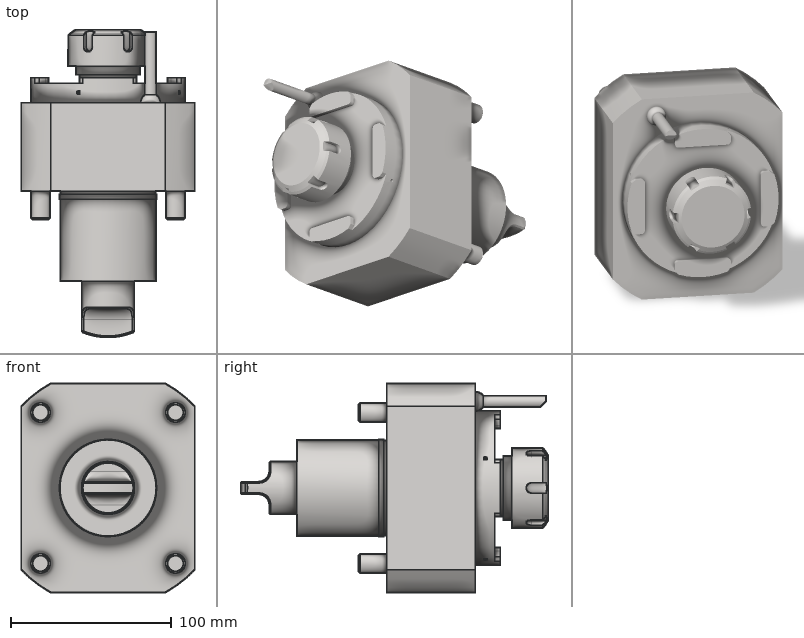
import cadquery as cq
import math


OVERALL_LENGTH = 191.5

BLOCK_WIDTH = 108.0
BLOCK_HEIGHT = 130.0
BLOCK_DEPTH = 55.1
CORNER_RADIUS = 74.0

SCREW_DIAMETER = 12.0
SCREW_LENGTH = 17.6
SCREW_CHAMFER = 1.1
SCREW_X = 42.0
SCREW_Z = 46.9

SHANK_DIAMETER = 59.7
SHANK_LENGTH = 55.9
RELIEF_DIAMETER = 59.3
SEAL_DIAMETER = 60.5
SEAL_START = 2
SEAL_WIDTH = 3.0
TANG_DIAMETER = 33.0
TANG_SHOULDER = 73.1
TANG_LENGTH = 91.0
TANG_SIDE_END = 87.5
BLADE_THICKNESS = 8.0
BLADE_FILLET = 6.3
TANG_CHAMFER = 1.0

COVER_DIAMETER = 96.0
COVER_FACE = 67.2
PAD_TOP = 70.6
PAD_INNER_REACH = 37.0
PAD_WIDTH = 35.5
PAD_CHAMFER = 2
PAD_CHAMFER_START = 42.7
PAD_FILLET = 2.1
OIL_HOLE_DIAMETER = 2.1
OIL_HOLE_DEPTH = 2.9
OIL_HOLE_ANGLE = 22.5
OIL_HOLE_Y = 61.3

NECK_DIAMETER = 35.6
COLLAR_DIAMETER = 40.0
COLLAR_START = 72.4
NUT_DIAMETER = 50.0
NUT_FACE_DIAMETER = 40.0
NUT_START = 77.7
NUT_SHOULDER = 96.9
NUT_BEVEL_DIAMETER = 47.0
NUT_BEVEL_Y = 98.2
NUT_TOP = OVERALL_LENGTH - TANG_LENGTH
SLOT_COUNT = 6
SLOT_WIDTH = 6.3
SLOT_FLOOR_RADIUS = 21.8
SLOT_END = 86.7

PIPE_X = 26.5
PIPE_Z = 53.8
PIPE_DIAMETER = 7.0
PIPE_TOP = 99.0
PIPE_CUT = 3.6
BALL_DIAMETER = 12.0


def rod(diameter, start, end, x=0, z=0):
    """Cylinder parallel to Y between two Y positions."""
    plane = cq.Plane(origin=(x, start, z), xDir=(1, 0, 0), normal=(0, 1, 0))
    return cq.Workplane(plane).circle(diameter / 2).extrude(end - start)


def box(x_range, y_range, z_range):
    """Box between pairs of X, Y and Z limits."""
    size = [high - low for low, high in (x_range, y_range, z_range)]
    corner = (x_range[0], y_range[0], z_range[0])
    return cq.Workplane().box(*size, centered=False).translate(corner)


def make_block():
    half_width = BLOCK_WIDTH / 2
    half_height = BLOCK_HEIGHT / 2
    blank = box((-half_width, half_width), (0, BLOCK_DEPTH), (-half_height, half_height))
    return blank.intersect(rod(2 * CORNER_RADIUS, 0, BLOCK_DEPTH))


def make_screw(x, z):
    return rod(SCREW_DIAMETER, 0, -SCREW_LENGTH, x, z).faces("<Y").chamfer(SCREW_CHAMFER)


def make_shank():
    seal_end = SEAL_START + SEAL_WIDTH
    shank = rod(RELIEF_DIAMETER, 0, -SEAL_START)
    shank = shank.union(rod(SEAL_DIAMETER, -SEAL_START, -seal_end))
    return shank.union(rod(SHANK_DIAMETER, -seal_end, -SHANK_LENGTH))


def make_tang():
    radius = TANG_DIAMETER / 2
    half_blade = BLADE_THICKNESS / 2
    tip_outline = (
        cq.Workplane("XY", origin=(0, 0, -radius))
        .moveTo(-radius, -SHANK_LENGTH)
        .lineTo(-radius, -TANG_SIDE_END)
        .threePointArc((0, -TANG_LENGTH), (radius, -TANG_SIDE_END))
        .lineTo(radius, -SHANK_LENGTH)
        .close()
        .extrude(TANG_DIAMETER)
    )
    side_outline = (
        cq.Workplane("YZ", origin=(-radius, 0, 0))
        .moveTo(-TANG_SHOULDER, radius)
        .lineTo(-TANG_SHOULDER, half_blade + BLADE_FILLET)
        .radiusArc((-TANG_SHOULDER - BLADE_FILLET, half_blade), BLADE_FILLET)
        .lineTo(-TANG_LENGTH, half_blade)
        .lineTo(-TANG_LENGTH, radius)
        .close()
        .extrude(TANG_DIAMETER)
    )
    tang = rod(TANG_DIAMETER, -SHANK_LENGTH, -TANG_LENGTH).intersect(tip_outline)
    tang = tang.cut(side_outline).cut(side_outline.mirror("XY"))
    return tang.edges("not >Y").chamfer(TANG_CHAMFER)


def make_pad():
    """Raised pad of the cover on its +X side, reaching past the cover's rim."""
    half_width = PAD_WIDTH / 2
    rim = COVER_DIAMETER / 2
    slant_length = math.sqrt(rim**2 - (half_width - PAD_CHAMFER) ** 2) - PAD_CHAMFER_START
    outer_half_width = half_width - PAD_CHAMFER * (rim - PAD_CHAMFER_START) / slant_length
    plane = cq.Plane(origin=(0, COVER_FACE, 0), xDir=(1, 0, 0), normal=(0, 1, 0))
    return (
        cq.Workplane(plane)
        .moveTo(PAD_INNER_REACH, half_width)
        .lineTo(PAD_CHAMFER_START, half_width)
        .lineTo(rim, outer_half_width)
        .lineTo(rim + PAD_CHAMFER, outer_half_width)
        .lineTo(rim + PAD_CHAMFER, -outer_half_width)
        .lineTo(rim, -outer_half_width)
        .lineTo(PAD_CHAMFER_START, -half_width)
        .lineTo(PAD_INNER_REACH, -half_width)
        .close()
        .extrude(PAD_TOP - COVER_FACE)
        .edges("|Y and <X")
        .fillet(PAD_FILLET)
    )


def make_cover():
    """Disc whose outer face is lowered everywhere except at the four pads."""
    quarter_turns = (0, 90, 180, 270)
    pad = make_pad()
    lowered_area = rod(2 * COVER_DIAMETER, COVER_FACE, PAD_TOP)
    for angle in quarter_turns:
        lowered_area = lowered_area.cut(pad.rotate((0, 0, 0), (0, 1, 0), angle))
    cover = rod(COVER_DIAMETER, BLOCK_DEPTH, PAD_TOP).cut(lowered_area)

    hole_start = COVER_DIAMETER / 2 - OIL_HOLE_DEPTH
    hole = (
        cq.Workplane("YZ", origin=(hole_start, OIL_HOLE_Y, 0))
        .circle(OIL_HOLE_DIAMETER / 2)
        .extrude(2 * OIL_HOLE_DEPTH)
    )
    for angle in quarter_turns:
        cover = cover.cut(hole.rotate((0, 0, 0), (0, 1, 0), angle - OIL_HOLE_ANGLE))
    return cover


def make_nut():
    radius = NUT_DIAMETER / 2
    nut = (
        cq.Workplane("XY")
        .moveTo(0, NUT_START)
        .lineTo(radius, NUT_START)
        .lineTo(radius, NUT_SHOULDER)
        .lineTo(NUT_BEVEL_DIAMETER / 2, NUT_BEVEL_Y)
        .lineTo(NUT_FACE_DIAMETER / 2, NUT_TOP)
        .lineTo(0, NUT_TOP)
        .close()
        .revolve(360, (0, 0, 0), (0, 1, 0))
    )
    half_slot = SLOT_WIDTH / 2
    slot = (
        cq.Workplane("YZ", origin=(SLOT_FLOOR_RADIUS, 0, 0))
        .moveTo(NUT_TOP, half_slot)
        .lineTo(SLOT_END + half_slot, half_slot)
        .threePointArc((SLOT_END, 0), (SLOT_END + half_slot, -half_slot))
        .lineTo(NUT_TOP, -half_slot)
        .close()
        .extrude(radius)
    )
    for index in range(SLOT_COUNT):
        nut = nut.cut(slot.rotate((0, 0, 0), (0, 1, 0), index * 360 / SLOT_COUNT))
    return nut


def make_spindle_nose():
    neck = rod(NECK_DIAMETER, COVER_FACE, COLLAR_START)
    return neck.union(rod(COLLAR_DIAMETER, COLLAR_START, NUT_START)).union(make_nut())


def make_coolant_pipe():
    """Pipe in a ball seat, its tip cut at 45 degrees on the lower side."""
    radius = PIPE_DIAMETER / 2
    ball = cq.Workplane().sphere(BALL_DIAMETER / 2).translate((PIPE_X, BLOCK_DEPTH, PIPE_Z))
    bottom = PIPE_Z - radius
    tip_cut = (
        cq.Workplane("YZ", origin=(PIPE_X - radius, 0, 0))
        .moveTo(PIPE_TOP, bottom)
        .lineTo(PIPE_TOP - PIPE_CUT, bottom)
        .lineTo(PIPE_TOP, bottom + PIPE_CUT)
        .close()
        .extrude(PIPE_DIAMETER)
    )
    pipe = rod(PIPE_DIAMETER, BLOCK_DEPTH, PIPE_TOP, PIPE_X, PIPE_Z).cut(tip_cut)
    inside_block = box((0, BLOCK_WIDTH), (0, BLOCK_DEPTH), (0, BLOCK_HEIGHT))
    return pipe.union(ball.cut(inside_block))


result = make_block()
for screw_x in (-SCREW_X, SCREW_X):
    for screw_z in (-SCREW_Z, SCREW_Z):
        result = result.union(make_screw(screw_x, screw_z))
for feature in (make_shank(), make_tang(), make_cover(), make_spindle_nose(), make_coolant_pipe()):
    result = result.union(feature)